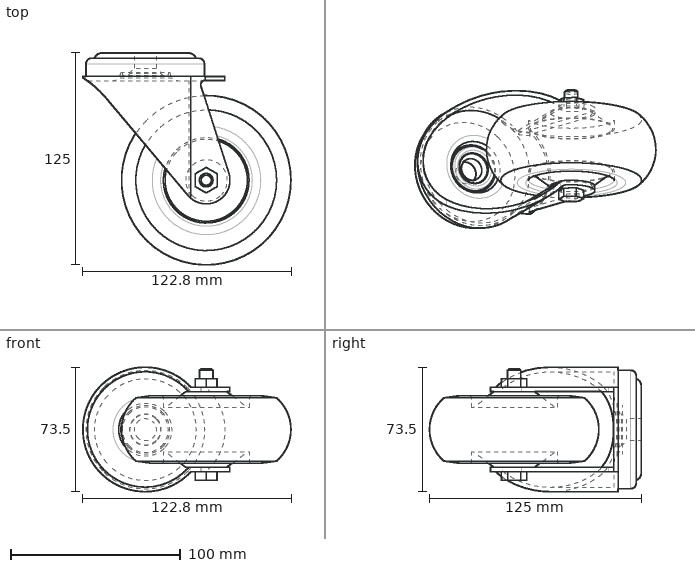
import cadquery as cq
import math


wheel_x = 36.0
wheel_radius = 50.0
tread_edge_radius = 41.5
tread_edge_half_width = 18.65
rim_outer_radius = 32.0
rim_inner_radius = 27.0
rim_half_width = 20.0
recess_radius = 50.5 / 2
cone_base_radius = 48.5 / 2
cone_base_half_width = 13.0
cone_tip_radius = 12.2

fork_radius = 36.75
wall = 2.75
side_outer = 25.0
side_inner = side_outer - wall
plate_top = 61.25
plate_thickness = 2.5
plate_bottom = plate_top - plate_thickness
leg_end_radius = 14.0
rear_angle = math.radians(49.9)
front_angle = math.radians(72.25)
rear_arc_radius = 57.0
rear_arc_end_x = -23.3
relief_radius = 2.5
tab_tip_x = 47.0

front_x = wheel_x + leg_end_radius * math.sin(front_angle)
front_y = leg_end_radius * math.cos(front_angle)
relief_corner_x = front_x - (plate_bottom - front_y) / math.tan(front_angle)
relief_setback = relief_radius / math.tan(front_angle / 2)
tab_corner_x = relief_corner_x + relief_setback

cup_radius = 70.0 / 2
cup_top = 72.0
cup_fillet = 3.5
cap_top = 75.0
cap_base_radius = 30.0
cap_top_radius = 26.0
cap_bulge_radius = 28.7
cap_bulge_height = 1.8

socket_mouth_radius = 19.5
socket_throat_radius = 15.6
socket_throat_depth = 1.6
socket_lip_radius = 17.2
socket_lip_depth = 0.45
socket_floor_radius = 14.3
socket_floor_depth = 5.0
collar_radius = 27.0 / 2
collar_depth = 3.0
collar_fillet = 0.8
bowl_mouth_radius = 10.9
bowl_mid_radius = 9.8
bowl_mid_depth = 3.4
bowl_end_radius = 9.3
bowl_end_depth = 4.2
countersink_radius = 18.0 / 2
stud_hole_radius = 13.0 / 2
countersink_start_depth = 5.0
countersink_end_depth = 7.2

bolt_radius = 8.0 / 2
bolt_end = 35.75
bolt_chamfer = 1.0
hex_flats = 13.0
hex_height = 5.0


def make_wheel():
    """Tyre, rim and conical hub revolved about the wheel axis."""
    rim_round = rim_inner_radius - recess_radius
    round_mid = rim_round * math.sqrt(0.5)
    profile = (
        cq.Workplane("XZ")
        .moveTo(0, -side_inner)
        .lineTo(cone_tip_radius, -side_inner)
        .lineTo(cone_base_radius, -cone_base_half_width)
        .lineTo(recess_radius, -cone_base_half_width)
        .lineTo(recess_radius, -rim_half_width + rim_round)
        .threePointArc(
            (rim_inner_radius - round_mid, -rim_half_width + rim_round - round_mid),
            (rim_inner_radius, -rim_half_width),
        )
        .lineTo(rim_outer_radius, -rim_half_width)
        .lineTo(tread_edge_radius, -tread_edge_half_width)
        .threePointArc((wheel_radius, 0), (tread_edge_radius, tread_edge_half_width))
        .lineTo(rim_outer_radius, rim_half_width)
        .lineTo(rim_inner_radius, rim_half_width)
        .threePointArc(
            (rim_inner_radius - round_mid, rim_half_width - rim_round + round_mid),
            (recess_radius, rim_half_width - rim_round),
        )
        .lineTo(recess_radius, cone_base_half_width)
        .lineTo(cone_base_radius, cone_base_half_width)
        .lineTo(cone_tip_radius, side_inner)
        .lineTo(0, side_inner)
        .close()
    )
    return profile.revolve(360, (0, 0, 0), (0, 1, 0)).translate((wheel_x, 0, 0))


def side_outline():
    """Side outline of the fork: sloping rear edge, round leg end, relieved front edge and tab."""
    rear_x = wheel_x - leg_end_radius * math.sin(rear_angle)
    rear_y = -leg_end_radius * math.cos(rear_angle)

    arc_end_y = rear_y + (rear_x - rear_arc_end_x) * math.tan(rear_angle)
    arc_center_x = rear_arc_end_x - rear_arc_radius * math.sin(rear_angle)
    arc_center_y = arc_end_y - rear_arc_radius * math.cos(rear_angle)

    def rear_arc_point(x):
        return x, arc_center_y + math.sqrt(rear_arc_radius**2 - (x - arc_center_x) ** 2)

    rear_mid_x = (-fork_radius + rear_arc_end_x) / 2
    relief_center_y = plate_bottom - relief_radius
    relief_mid_angle = math.pi - front_angle / 2

    return (
        cq.Workplane("XY")
        .moveTo(-fork_radius, plate_top)
        .lineTo(*rear_arc_point(-fork_radius))
        .threePointArc(rear_arc_point(rear_mid_x), (rear_arc_end_x, arc_end_y))
        .lineTo(rear_x, rear_y)
        .threePointArc((wheel_x, -leg_end_radius), (front_x, front_y))
        .lineTo(
            relief_corner_x + relief_setback * math.cos(front_angle),
            plate_bottom - relief_setback * math.sin(front_angle),
        )
        .threePointArc(
            (
                tab_corner_x + relief_radius * math.cos(relief_mid_angle),
                relief_center_y + relief_radius * math.sin(relief_mid_angle),
            ),
            (tab_corner_x, plate_bottom),
        )
        .lineTo(tab_tip_x, plate_bottom)
        .lineTo(tab_tip_x, plate_top)
        .close()
    )


def fork_plan(radius, half_width, straight_end_x):
    """Open plan path of the fork: a round back running into two flat sides."""
    side_start_x = math.sqrt(radius**2 - half_width**2)
    return (
        cq.Workplane("XZ")
        .moveTo(straight_end_x, half_width)
        .lineTo(side_start_x, half_width)
        .threePointArc((-radius, 0), (side_start_x, -half_width))
        .lineTo(straight_end_x, -half_width)
    )


def extrude_y(outline, bottom, top):
    """Extrude a closed XZ outline from one Y level to another."""
    return outline.extrude(bottom - top).translate((0, bottom, 0))


def make_fork():
    """Plate with a bowed front tab, and a U-shaped wall cut to the two legs."""
    legs_end_x = wheel_x + leg_end_radius
    legs = extrude_y(fork_plan(fork_radius, side_outer, legs_end_x).close(), -leg_end_radius, plate_bottom)
    inside = extrude_y(
        fork_plan(fork_radius - wall, side_inner, legs_end_x).close(), -leg_end_radius, plate_bottom
    )
    plate_plan = (
        fork_plan(fork_radius, side_outer, tab_corner_x)
        .threePointArc((tab_tip_x, 0), (tab_corner_x, side_outer))
        .close()
    )
    plate = extrude_y(plate_plan, plate_bottom, plate_top)
    sides = side_outline().extrude(fork_radius, both=True)
    return legs.cut(inside).union(plate).intersect(sides)


def make_bearing():
    """Cup with a rounded shoulder and a domed cap, revolved about the swivel axis."""
    cup = (
        cq.Workplane("XZ")
        .circle(cup_radius)
        .extrude(plate_top - cup_top)
        .translate((0, plate_top, 0))
        .faces(">Y")
        .edges()
        .fillet(cup_fillet)
    )
    cap = (
        cq.Workplane("XY")
        .moveTo(0, cup_top)
        .lineTo(cap_base_radius, cup_top)
        .threePointArc((cap_bulge_radius, cup_top + cap_bulge_height), (cap_top_radius, cap_top))
        .lineTo(0, cap_top)
        .close()
        .revolve(360, (0, 0, 0), (0, 1, 0))
    )
    return cup.union(cap)


def make_socket():
    """Cavity cut from below: lipped mouth, collar with a rounded inner edge and countersunk stud hole."""
    mouth = (
        cq.Workplane("XY")
        .moveTo(0, plate_bottom)
        .lineTo(socket_mouth_radius, plate_bottom)
        .threePointArc(
            (socket_lip_radius, plate_bottom + socket_lip_depth),
            (socket_throat_radius, plate_bottom + socket_throat_depth),
        )
        .lineTo(socket_floor_radius, plate_bottom + socket_floor_depth)
        .lineTo(0, plate_bottom + socket_floor_depth)
        .close()
        .revolve(360, (0, 0, 0), (0, 1, 0))
    )
    collar = (
        cq.Workplane("XZ")
        .circle(collar_radius)
        .extrude(collar_depth - socket_floor_depth)
        .translate((0, plate_bottom + collar_depth, 0))
        .faces("<Y")
        .edges()
        .fillet(collar_fillet)
    )
    bore = (
        cq.Workplane("XY")
        .moveTo(0, plate_bottom)
        .lineTo(bowl_mouth_radius, plate_bottom)
        .lineTo(bowl_mouth_radius, plate_bottom + collar_depth)
        .threePointArc(
            (bowl_mid_radius, plate_bottom + bowl_mid_depth),
            (bowl_end_radius, plate_bottom + bowl_end_depth),
        )
        .lineTo(countersink_radius, plate_bottom + bowl_end_depth)
        .lineTo(countersink_radius, plate_bottom + countersink_start_depth)
        .lineTo(stud_hole_radius, plate_bottom + countersink_end_depth)
        .lineTo(stud_hole_radius, cap_top)
        .lineTo(0, cap_top)
        .close()
        .revolve(360, (0, 0, 0), (0, 1, 0))
    )
    return mouth.cut(collar).union(bore)


def make_axle():
    """Bolt through the fork with a hexagon on each side; the +Z end stands out of its nut."""
    hex_across_corners = hex_flats / math.cos(math.pi / 6)
    head = (
        cq.Workplane("XY")
        .workplane(offset=-side_outer - hex_height)
        .transformed(rotate=(0, 0, 90))
        .polygon(6, hex_across_corners)
        .extrude(hex_height)
    )
    nut = head.translate((0, 0, 2 * side_outer + hex_height))
    bolt = (
        cq.Workplane("XY")
        .workplane(offset=-side_outer)
        .circle(bolt_radius)
        .extrude(side_outer + bolt_end)
        .faces(">Z")
        .chamfer(bolt_chamfer)
    )
    return bolt.union(head).union(nut).translate((wheel_x, 0, 0))


result = (
    make_fork()
    .union(make_bearing())
    .cut(make_socket())
    .union(make_wheel())
    .union(make_axle())
)